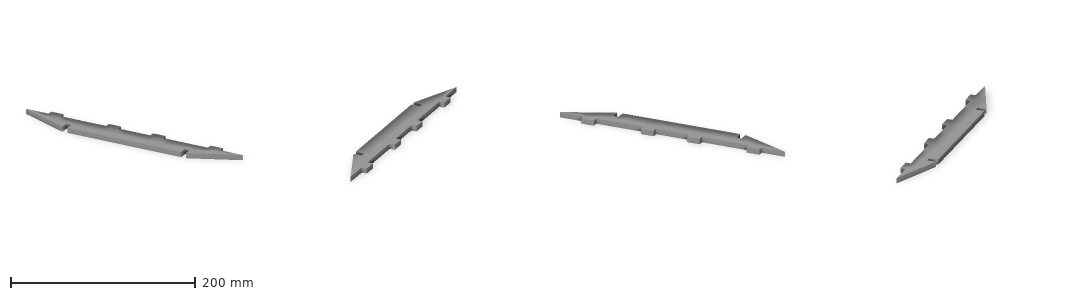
import cadquery as cq

length = 266.0
thickness = 6.0
total_width = 30.0
tab_height = 6.0
tab_width = 15.2
tab_centers = (27.0, 97.5)
bottom_length = 151.5
slot_width = 6.0
slot_depth = 10.0

body_width = total_width - tab_height
slot_center = (bottom_length - slot_width) / 2


def block(center_x, start_y, width, depth):
    """Full-thickness block centred on center_x and growing toward +Y."""
    return cq.Workplane("XY").box(width, depth, thickness, centered=(True, False, False)).translate(
        (center_x, start_y, 0)
    )


plate = (
    cq.Workplane("XY")
    .polyline(
        [
            (-length / 2, body_width),
            (-bottom_length / 2, 0),
            (bottom_length / 2, 0),
            (length / 2, body_width),
        ]
    )
    .close()
    .extrude(thickness)
)

for side in (-1, 1):
    for tab_center in tab_centers:
        plate = plate.union(block(side * tab_center, body_width, tab_width, tab_height))
    plate = plate.cut(block(side * slot_center, 0, slot_width, slot_depth))

result = plate